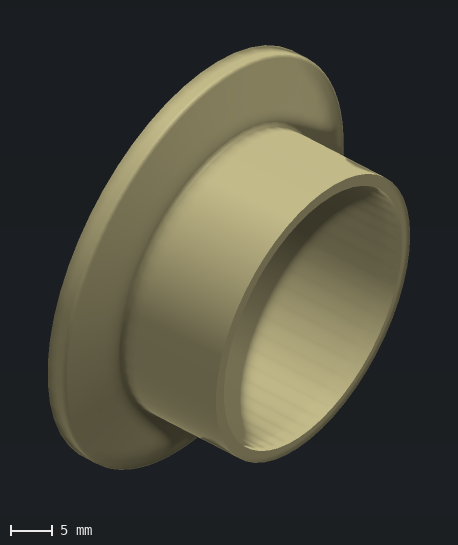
import cadquery as cq
import math

flange_diameter = 55.0
tube_diameter = 38.1
bore_diameter = 35.0
total_length = 19.1

taper_angle = math.radians(15)
taper_end = 4.8
rim_fillet = 0.55
root_fillet = 0.55

flange_radius = flange_diameter / 2
tube_radius = tube_diameter / 2
bore_radius = bore_diameter / 2
rim_width = taper_end - (flange_radius - tube_radius) * math.tan(taper_angle)


def revolved_body():
    """Half section in XY, turned about the X axis; the sealing face is at X = 0."""
    section = (
        cq.Workplane("XY")
        .moveTo(0, bore_radius)
        .lineTo(0, flange_radius)
        .lineTo(rim_width, flange_radius)
        .lineTo(taper_end, tube_radius)
        .lineTo(total_length, tube_radius)
        .lineTo(total_length, bore_radius)
        .close()
    )
    return section.revolve(360, (0, 0, 0), (1, 0, 0))


def round_circle(body, axial_position, radius, fillet):
    """Fillet the circular edge found at one axial position and radius."""
    margin = 0.05
    edge_zone = cq.selectors.BoxSelector(
        (axial_position - margin, -radius - margin, -radius - margin),
        (axial_position + margin, radius + margin, radius + margin),
        boundingbox=True,
    )
    return body.edges(edge_zone).fillet(fillet)


result = revolved_body()
result = round_circle(result, rim_width, flange_radius, rim_fillet)
result = round_circle(result, taper_end, tube_radius, root_fillet)